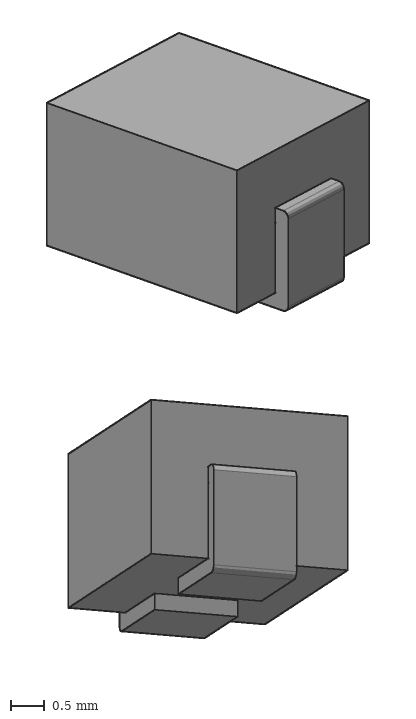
import cadquery as cq

total_length = 4.15
total_height = 2.6
housing_width = 3.1

lead_thickness = 0.25
lead_width = 1.307
lead_height = 1.65
foot_gap = 1.05
bend_radius = 0.1

housing_length = total_length - 2 * lead_thickness
housing_height = total_height - lead_thickness


def centred_bar(length, width, height, bottom):
    """Box centred on the Z axis, standing on the height `bottom`."""
    return (
        cq.Workplane("XY")
        .workplane(offset=bottom)
        .box(length, width, height, centered=(True, True, False))
    )


def make_lead_strip():
    """Band with rounded outer bends, open between its two feet."""
    outer = centred_bar(total_length, lead_width, lead_height, 0).edges("|Y").fillet(bend_radius)
    inner_height = lead_height - 2 * lead_thickness
    inner = centred_bar(housing_length, lead_width, inner_height, lead_thickness)
    gap = centred_bar(foot_gap, lead_width, lead_thickness, 0)
    return outer.cut(inner).cut(gap)


def make_housing(lead_strip):
    """Plain block with a slot that matches the crossbar of the lead strip."""
    block = centred_bar(housing_length, housing_width, housing_height, lead_thickness)
    return block.cut(lead_strip)


lead_strip = make_lead_strip()
housing = make_housing(lead_strip)

result = cq.Compound.makeCompound([housing.val(), lead_strip.val()])